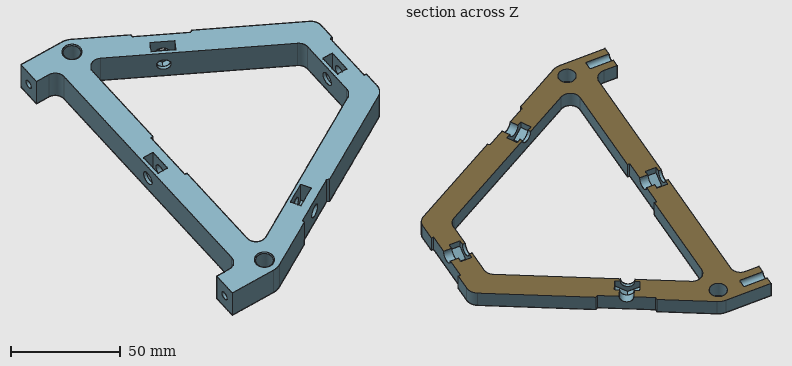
import cadquery as cq
import math

width = 165.8
depth = 125.0
height = 16.0
half_width = width / 2
mid_height = height / 2

bar_width = 12.5
side_angle = 60.0
foot_length = 12.0
foot_width = 12.3
top_half_length = 25.4

lower_corner_radius = 8.3
upper_corner_radius = 6.0
inner_radius = 5.0

seat_length = 26.5
seat_depth = 1.2
bolt_diameter = 6.6
nut_across_flats = 11.5
hexagon_flat_angle = 30.0
nut_thickness = 5.3
nut_inset = 8.1
side_seat_flare = 30.0
side_seat_y = 63.2

pivot_diameter = 8.1
pivot_chamfer = 0.5
pivot_inset = 7.5
pivot_y = 23.4
foot_hole_diameter = 4.1
foot_hole_depth = foot_length

side_slope = math.tan(math.radians(side_angle))
side_shift = bar_width / math.sin(math.radians(side_angle))
window_bottom = foot_length + bar_width
window_top = depth - bar_width


def outer_side_x(y):
    """Half-width of the frame at y, measured to the outer face of a sloping bar."""
    return top_half_length + (depth - y) / side_slope


def inner_side_x(y):
    """Half-width of the window at y, measured to the inner face of a sloping bar."""
    return outer_side_x(y) - side_shift


def make_body():
    shoulder_y = depth - (half_width - top_half_length) * side_slope
    right_half = [
        (half_width - foot_width, foot_length),
        (half_width - foot_width, 0),
        (half_width, 0),
        (half_width, shoulder_y),
        (top_half_length, depth),
    ]
    left_half = [(-x, y) for x, y in reversed(right_half)]
    body = cq.Workplane("XY").polyline(right_half + left_half).close().extrude(height)

    def corner_edges(x, y):
        tolerance = 0.02
        corners = [cq.Vector(sign * x, y, mid_height) for sign in (-1, 1)]
        return [e for e in body.edges("|Z").vals() if any((e.Center() - c).Length < tolerance for c in corners)]

    body = body.newObject(corner_edges(half_width - foot_width, foot_length)).fillet(inner_radius)
    body = body.newObject(corner_edges(half_width, shoulder_y)).fillet(lower_corner_radius)
    return body.newObject(corner_edges(top_half_length, depth)).fillet(upper_corner_radius)


def make_window():
    lower_x = inner_side_x(window_bottom)
    upper_x = inner_side_x(window_top)
    corners = [
        (-lower_x, window_bottom),
        (lower_x, window_bottom),
        (upper_x, window_top),
        (-upper_x, window_top),
    ]
    window = cq.Workplane("XY").polyline(corners).close().extrude(height)
    return window.edges("|Z").fillet(inner_radius)


def make_mount(flare):
    """Cutter for one bar whose bolting face lies on y = 0 with the material towards -y.

    The end walls of the seat lean outwards by the flare angle, in degrees.
    """
    half_floor = seat_length / 2
    half_mouth = half_floor + seat_depth * math.tan(math.radians(flare))
    seat_outline = [
        (-half_floor, -seat_depth),
        (half_floor, -seat_depth),
        (half_mouth, 0),
        (-half_mouth, 0),
    ]
    seat = cq.Workplane("XY").polyline(seat_outline).close().extrude(height)
    bolt_hole = (
        cq.Workplane("XZ", origin=(0, 0, mid_height))
        .circle(bolt_diameter / 2)
        .extrude(bar_width)
    )
    half_flats = nut_across_flats / 2
    corner_rise = half_flats * math.tan(math.radians(hexagon_flat_angle))
    slot_profile = [
        (0, mid_height - 2 * corner_rise),
        (half_flats, mid_height - corner_rise),
        (half_flats, height),
        (-half_flats, height),
        (-half_flats, mid_height - corner_rise),
    ]
    slot = (
        cq.Workplane("XZ", origin=(0, nut_thickness / 2 - nut_inset, 0))
        .polyline(slot_profile)
        .close()
        .extrude(nut_thickness)
    )
    return seat.union(bolt_hole).union(slot)


def make_foot_holes(side):
    pivot = (
        cq.Workplane("XY")
        .center(side * (half_width - pivot_inset), pivot_y)
        .circle(pivot_diameter / 2)
        .extrude(height)
    )
    pivot_mouth = (
        cq.Workplane("XY", origin=(side * (half_width - pivot_inset), pivot_y, height))
        .circle(pivot_diameter / 2 + pivot_chamfer)
        .workplane(offset=-pivot_chamfer)
        .circle(pivot_diameter / 2)
        .loft()
    )
    foot_hole = (
        cq.Workplane("XZ", origin=(side * (half_width - foot_width / 2), 0, mid_height))
        .circle(foot_hole_diameter / 2)
        .extrude(-foot_hole_depth)
    )
    return pivot.union(pivot_mouth).union(foot_hole)


result = make_body().cut(make_window())

straight_mount = make_mount(0)
for face_y in (window_bottom, depth):
    result = result.cut(straight_mount.translate((0, face_y, 0)))

for side in (-1, 1):
    side_mount = make_mount(side_seat_flare).rotate((0, 0, 0), (0, 0, 1), -side * side_angle)
    result = result.cut(side_mount.translate((side * outer_side_x(side_seat_y), side_seat_y, 0)))
    result = result.cut(make_foot_holes(side))